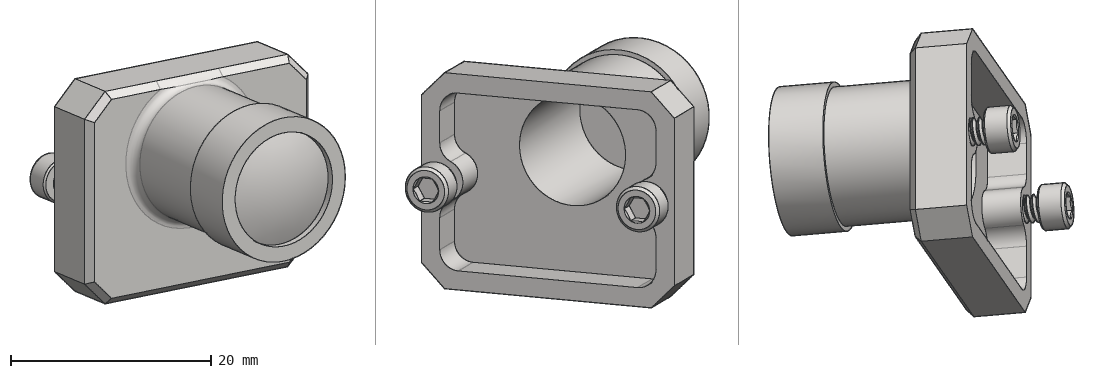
import cadquery as cq
import math

PLATE_THICKNESS = 6.0
PLATE_WIDTH = 27.2
PLATE_HEIGHT = 22.22
CORNER_CUT = 2.5
FRONT_CHAMFER = 0.7

WALL = 1.97
POCKET_DEPTH = 4.0
POCKET_FILLET = 2.0
BOSS_RADIUS = 2.22

TUBE_Y = -1.07
TUBE_Z = 3.35
TUBE_DIAMETER = 14.0
BORE_DIAMETER = 11.4
FLARE_RADIUS = 1.0

CAP_DIAMETER = 15.0
CAP_LENGTH = 5.58
CAP_END_X = 22.15
CAP_OPENING_DIAMETER = 11.85

LENS_DIAMETER = 12.5
LENS_BULGE = 0.35
LENS_SPHERE_RADIUS = 16.1
LENS_THICKNESS = 2.2

SCREW_SPACING = 22.72
HEAD_DIAMETER = 4.65
HEAD_LENGTH = 2.8
HEAD_TOP_X = -4.45
HEAD_TOP_CHAMFER = 0.3
HEAD_BASE_CHAMFER = 0.2
SOCKET_WIDTH = 2.38
SOCKET_DEPTH = 1.37
SOCKET_COUNTERSINK = 0.15
THREAD_DIAMETER = 2.85
THREAD_CORE_DIAMETER = 2.03
THREAD_PITCH = 0.63
THREAD_CREST_FLAT = 0.08
THREAD_ROOT_FLAT = 0.08
THREAD_SUNK_DEPTH = 0.05
THREAD_START_X = -2.27
SHANK_LENGTH = 6.35

TUBE_RADIUS = TUBE_DIAMETER / 2
CAP_START_X = CAP_END_X - CAP_LENGTH
LENS_BACK_X = CAP_END_X + LENS_BULGE - LENS_THICKNESS
CAP_OPENING_RADIUS = CAP_OPENING_DIAMETER / 2
LENS_SAG_AT_LIP = LENS_SPHERE_RADIUS - math.sqrt(LENS_SPHERE_RADIUS**2 - CAP_OPENING_RADIUS**2)
TUBE_END_X = CAP_END_X + LENS_BULGE - LENS_SAG_AT_LIP
HEAD_BASE_X = HEAD_TOP_X + HEAD_LENGTH
SCREW_TIP_X = HEAD_BASE_X + SHANK_LENGTH
SCREW_YS = (-SCREW_SPACING / 2, SCREW_SPACING / 2)


def section_plane(x, y=0.0, z=0.0):
    """Plane across the X axis: local x runs along +Y, local y along +Z, extrusion along +X."""
    return cq.Workplane("YZ", origin=(x, y, z))


def rod(diameter, start_x, end_x, y=TUBE_Y, z=TUBE_Z):
    """Round rod along X between two X places."""
    return section_plane(start_x, y, z).circle(diameter / 2).extrude(end_x - start_x)


def plate_blank():
    """Flat plate with its four corners cut off."""
    block = section_plane(0).rect(PLATE_WIDTH, PLATE_HEIGHT).extrude(PLATE_THICKNESS)
    return block.edges("|X").chamfer(CORNER_CUT)


def flare():
    """Concave ring that blends the tube into the plate, cut off flush with the plate's top face."""
    foot = TUBE_RADIUS + FLARE_RADIUS
    ring = (
        cq.Workplane("XY", origin=(0, TUBE_Y, TUBE_Z))
        .moveTo(PLATE_THICKNESS, 0)
        .lineTo(PLATE_THICKNESS, foot)
        .radiusArc((PLATE_THICKNESS + FLARE_RADIUS, TUBE_RADIUS), -FLARE_RADIUS)
        .lineTo(PLATE_THICKNESS + FLARE_RADIUS, 0)
        .close()
        .revolve(360, (0, 0, 0), (1, 0, 0))
    )
    return ring.intersect(section_plane(0).rect(PLATE_WIDTH, PLATE_HEIGHT).extrude(CAP_END_X))


def housing_blank():
    """Plate, flare and solid tube, with the plate's front outline chamfered."""
    body = plate_blank().union(flare())
    body = body.union(rod(TUBE_DIAMETER, PLATE_THICKNESS, TUBE_END_X))
    front_face = cq.selectors.NearestToPointSelector((PLATE_THICKNESS, 0, 0))
    return body.faces(front_face).edges("%LINE").chamfer(FRONT_CHAMFER)


def pocket():
    """Rounded rectangular pocket that leaves a half-round boss around each screw."""
    space = section_plane(0).rect(PLATE_WIDTH - 2 * WALL, PLATE_HEIGHT - 2 * WALL).extrude(POCKET_DEPTH)
    for screw_y in SCREW_YS:
        space = space.cut(rod(2 * BOSS_RADIUS, 0, POCKET_DEPTH, screw_y, 0))
    return space.edges("|X").fillet(POCKET_FILLET)


def make_housing():
    """Plate and tube with the pocket, the lens bore and seat, and a blind hole for each screw."""
    housing = housing_blank()
    housing = housing.cut(pocket())
    housing = housing.cut(rod(BORE_DIAMETER, 0, TUBE_END_X))
    housing = housing.cut(rod(LENS_DIAMETER, LENS_BACK_X, TUBE_END_X))
    for screw_y in SCREW_YS:
        housing = housing.cut(rod(THREAD_DIAMETER, 0, SCREW_TIP_X, screw_y, 0))
    return housing


def make_cap():
    """Sleeve over the tube end, with an inward lip that holds the lens."""
    cap = rod(CAP_DIAMETER, CAP_START_X, CAP_END_X)
    cap = cap.cut(rod(TUBE_DIAMETER, CAP_START_X, TUBE_END_X))
    return cap.cut(rod(CAP_OPENING_DIAMETER, CAP_START_X, CAP_END_X))


def make_lens():
    """Flat-backed lens whose domed front touches the cap lip."""
    apex_x = CAP_END_X + LENS_BULGE
    ball = cq.Workplane("XY", origin=(apex_x - LENS_SPHERE_RADIUS, TUBE_Y, TUBE_Z)).sphere(LENS_SPHERE_RADIUS)
    return rod(LENS_DIAMETER, LENS_BACK_X, apex_x).intersect(ball)


def screw_head():
    """Cylinder head with chamfered rims and a countersunk hexagon socket."""
    head = rod(HEAD_DIAMETER, HEAD_TOP_X, HEAD_BASE_X, 0, 0)
    head = head.faces("<X").edges().chamfer(HEAD_TOP_CHAMFER)
    head = head.faces(">X").edges().chamfer(HEAD_BASE_CHAMFER)
    corner_diameter = SOCKET_WIDTH / math.cos(math.pi / 6)
    socket = section_plane(HEAD_TOP_X).polygon(6, corner_diameter).extrude(SOCKET_DEPTH)
    countersink = (
        section_plane(HEAD_TOP_X)
        .circle(corner_diameter / 2)
        .workplane(offset=SOCKET_COUNTERSINK)
        .circle(SOCKET_WIDTH / 2)
        .loft()
    )
    return head.cut(socket).cut(countersink)


def thread_ridge():
    """Right-hand helical ridge along X, from inside the head to the last full turn before the tip."""
    crest_radius = THREAD_DIAMETER / 2
    root_radius = THREAD_CORE_DIAMETER / 2
    half_crest = THREAD_CREST_FLAT / 2
    half_root = (THREAD_PITCH - THREAD_ROOT_FLAT) / 2
    flank_slope = (half_root - half_crest) / (crest_radius - root_radius)
    half_foot = half_root + flank_slope * THREAD_SUNK_DEPTH
    foot_radius = root_radius - THREAD_SUNK_DEPTH
    turns = math.floor((SCREW_TIP_X - THREAD_START_X) / THREAD_PITCH - 0.5)
    path = cq.Wire.makeHelix(THREAD_PITCH, turns * THREAD_PITCH, root_radius)
    profile = (
        cq.Workplane("XZ")
        .moveTo(foot_radius, -half_foot)
        .lineTo(crest_radius, -half_crest)
        .lineTo(crest_radius, half_crest)
        .lineTo(foot_radius, half_foot)
        .close()
    )
    ridge = profile.sweep(path, isFrenet=True)
    along_x = ridge.rotate((0, 0, 0), (1, 1, 1), 120)
    return along_x.translate((THREAD_START_X, 0, 0))


def make_screw():
    """Socket head screw whose axis is the X axis."""
    core = rod(THREAD_CORE_DIAMETER, HEAD_BASE_X, SCREW_TIP_X, 0, 0)
    return core.union(screw_head()).union(thread_ridge(), clean=False)


housing = make_housing()
cap = make_cap()
lens = make_lens()
screw_pattern = make_screw()
screws = [screw_pattern.translate((0, screw_y, 0)) for screw_y in SCREW_YS]

result = cq.Compound.makeCompound(
    [housing.val().Solids()[0], cap.val(), lens.val(), *[screw.val().Solids()[0] for screw in screws]]
)